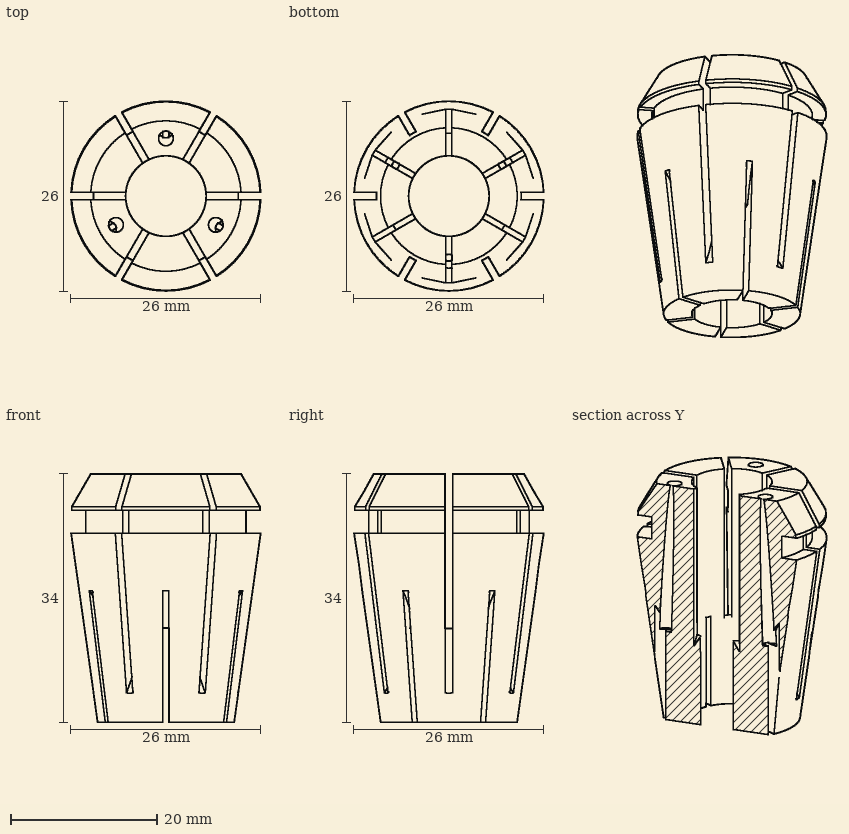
import cadquery as cq
import math

LENGTH = 34.0
BORE_RADIUS = 5.5

BODY_RADIUS = 13.0
BODY_HALF_ANGLE = 8.0
BODY_TOP_Z = 25.9

GROOVE_RADIUS = 11.0
FLANGE_RADIUS = 12.9
FLANGE_BOTTOM_Z = 29.0
FLANGE_TOP_Z = 29.5
NOSE_HALF_ANGLE = 30.0

SLOTS_PER_END = 6
SLOT_PITCH = 360.0 / SLOTS_PER_END
TOP_SLOT_CUTTER_RADIUS = 25.0
TOP_SLOT_WIDTH = 1.0
TOP_SLOT_OUTER_Z = 4.0
TOP_SLOT_INNER_Z = 12.85
BOTTOM_SLOT_CUTTER_RADIUS = 20.0
BOTTOM_SLOT_WIDTH = 0.8
BOTTOM_SLOT_OUTER_Z = 18.0
BOTTOM_SLOT_INNER_Z = 12.9
BOTTOM_SLOT_ARC_INNER_RADIUS = 8.6
BOTTOM_SLOT_START_ANGLE = SLOT_PITCH / 2

COOLANT_HOLE_COUNT = 3
COOLANT_HOLE_PITCH = 360.0 / COOLANT_HOLE_COUNT
COOLANT_HOLE_START_ANGLE = 90.0
COOLANT_HOLE_RADIUS = 1.0
COOLANT_HOLE_CENTER_RADIUS = 7.88
COOLANT_HOLE_DEPTH = 21.2
COOLANT_HOLE_TILT = 3.0

CUT_MARGIN = 1.0


def body_radius_at(z):
    """Radius of the long taper at height z."""
    return BODY_RADIUS - (BODY_TOP_Z - z) * math.tan(math.radians(BODY_HALF_ANGLE))


def make_blank():
    """Revolved collet with its through bore, before slotting."""
    nose_radius = FLANGE_RADIUS - (LENGTH - FLANGE_TOP_Z) * math.tan(math.radians(NOSE_HALF_ANGLE))
    profile = [
        (BORE_RADIUS, 0),
        (body_radius_at(0), 0),
        (BODY_RADIUS, BODY_TOP_Z),
        (GROOVE_RADIUS, BODY_TOP_Z),
        (GROOVE_RADIUS, FLANGE_BOTTOM_Z),
        (FLANGE_RADIUS, FLANGE_BOTTOM_Z),
        (FLANGE_RADIUS, FLANGE_TOP_Z),
        (nose_radius, LENGTH),
        (BORE_RADIUS, LENGTH),
    ]
    return cq.Workplane("XZ").polyline(profile).close().revolve(360, (0, 0, 0), (0, 1, 0))


def arc_middle(start, end, radius, bulge_side):
    """Middle of the minor arc from start to end; bulge_side is +1 for left of travel, -1 for right."""
    dx = end[0] - start[0]
    dz = end[1] - start[1]
    chord = math.hypot(dx, dz)
    sagitta = radius - math.sqrt(radius**2 - (chord / 2) ** 2)
    offset = bulge_side * sagitta / chord
    return ((start[0] + end[0]) / 2 - dz * offset, (start[1] + end[1]) / 2 + dx * offset)


def make_slot(width, cutter_radius, arc_inner_radius, inner_z, outer_z, open_z, bulge_side):
    """Slot along +X, open at open_z, closed by a saw-cut arc that runs level inside arc_inner_radius."""
    outside = BODY_RADIUS + CUT_MARGIN
    inner_end = (arc_inner_radius, inner_z)
    outer_end = (body_radius_at(outer_z), outer_z)
    arc_mid = arc_middle(inner_end, outer_end, cutter_radius, bulge_side)
    return (
        cq.Workplane("XZ")
        .moveTo(0, inner_z)
        .lineTo(*inner_end)
        .threePointArc(arc_mid, outer_end)
        .lineTo(outside, outer_z)
        .lineTo(outside, open_z)
        .lineTo(0, open_z)
        .close()
        .extrude(width / 2, both=True)
    )


def make_coolant_hole():
    """Hole cutter in the +X half of the XZ plane, tilted about its centre on the top face."""
    hole = (
        cq.Workplane("XY", origin=(COOLANT_HOLE_CENTER_RADIUS, 0, LENGTH + CUT_MARGIN))
        .circle(COOLANT_HOLE_RADIUS)
        .extrude(-(COOLANT_HOLE_DEPTH + CUT_MARGIN))
    )
    pivot = (COOLANT_HOLE_CENTER_RADIUS, 0, LENGTH)
    pivot_end = (COOLANT_HOLE_CENTER_RADIUS, 1, LENGTH)
    return hole.rotate(pivot, pivot_end, -COOLANT_HOLE_TILT)


def cut_around_axis(part, cutter, count, pitch, start_angle):
    """Cut count copies of cutter, spaced by pitch degrees about Z."""
    for index in range(count):
        part = part.cut(cutter.rotate((0, 0, 0), (0, 0, 1), start_angle + index * pitch))
    return part


top_slot = make_slot(
    width=TOP_SLOT_WIDTH,
    cutter_radius=TOP_SLOT_CUTTER_RADIUS,
    arc_inner_radius=BORE_RADIUS,
    inner_z=TOP_SLOT_INNER_Z,
    outer_z=TOP_SLOT_OUTER_Z,
    open_z=LENGTH + CUT_MARGIN,
    bulge_side=-1,
)
bottom_slot = make_slot(
    width=BOTTOM_SLOT_WIDTH,
    cutter_radius=BOTTOM_SLOT_CUTTER_RADIUS,
    arc_inner_radius=BOTTOM_SLOT_ARC_INNER_RADIUS,
    inner_z=BOTTOM_SLOT_INNER_Z,
    outer_z=BOTTOM_SLOT_OUTER_Z,
    open_z=-CUT_MARGIN,
    bulge_side=1,
)

result = make_blank()
result = cut_around_axis(result, top_slot, SLOTS_PER_END, SLOT_PITCH, 0)
result = cut_around_axis(result, bottom_slot, SLOTS_PER_END, SLOT_PITCH, BOTTOM_SLOT_START_ANGLE)
result = cut_around_axis(
    result, make_coolant_hole(), COOLANT_HOLE_COUNT, COOLANT_HOLE_PITCH, COOLANT_HOLE_START_ANGLE
)